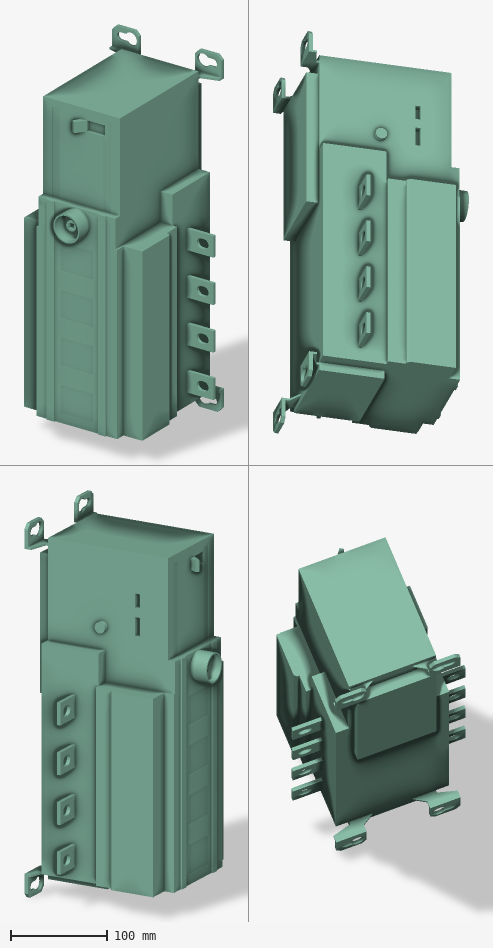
import cadquery as cq


height = 408.0
terminal_span = 193.0
total_depth = 187.3

body_half_width = 48.5
body_back = -16.7
body_top = 390.0
body_bottom = 18.0
lower_front = -168.0
motor_front = -159.5
motor_bottom = 278.5
foot_front = -87.5

slab_half_width = 44.0
slab_back = -4.0
slab_bottom = 218.0
slab_top = 370.5

pole_half_width = 63.2
pole_front = -85.3
switch_bottom = 27.5
cover_top = 243.5
cover_neck = 69.5
cover_half_width = 74.5
cover_step = -104.5
cover_bevel = 3.0
cover_front = -156.5
cover_rebate_width = 4.0
cover_rebate_depth = 0.5
panel_half_width = 51.0

pole_count = 4
first_pole_z = 54.5
pole_pitch = 54.3
terminal_height = 24.5
terminal_thickness = 4.0
terminal_y = -56.5
terminal_slot_length = 14.5
terminal_slot_height = 11.5
terminal_slot_x = 83.0
window_width = 40.5
window_height = 32.2
window_depth = 0.5

rail_inner = 27.7
rail_outer = 37.0
groove_top = 381.0
rail_rise = 1.5
groove_depth = 0.5

lug_inner = 35.5
lug_outer = 69.5
lug_thickness = 4.0
lug_corner = 5.5
shelf_thickness = 2.5
shelf_z = 381.0
shelf_straight = -8.0
shelf_outer_end = -14.0
shelf_root_inner = 21.5
keyhole_z = 397.0
keyhole_x = 45.5
keyhole_radius = 7.8
keyhole_slot_x = 58.5
keyhole_slot_radius = 5.0

knob_z = 261.5
knob_radius = 16.5
knob_bore_radius = 14.5
shaft_radius = 6.0
shaft_height = 10.5
shaft_square = 7.0

button_y = -82.0
button_z = 304.0
button_radius = 6.0
button_rise = 7.0
side_pocket_back = -120.5
side_pocket_front = -126.0
side_pocket_spans = [(330.0, 345.5), (299.0, 320.0)]
side_pocket_depth = 8.0

latch_bottom = 364.5
latch_top = 377.0
latch_split_x = 7.0
latch_pocket_end = 29.5
latch_pocket_depth = 4.0
tab_tip_left = (-5.7, -168.0)
tab_tip_right = (-1.5, -171.0)
tab_base_left_x = -0.5


def box(x_range, y_range, z_range):
    """Box between two limits along each axis."""
    limits = (x_range, y_range, z_range)
    low = [min(pair) for pair in limits]
    size = [max(pair) - min(pair) for pair in limits]
    return cq.Workplane("XY").box(*size, centered=False).translate(tuple(low))


def centred(half):
    return (-half, half)


def prism_z(points, z_range):
    """Outline in X and Y, raised between two heights."""
    base = cq.Workplane("XY", origin=(0, 0, z_range[0]))
    return base.polyline(points).close().extrude(z_range[1] - z_range[0])


def cylinder_y(x, z, radius, y_back, y_front):
    """Cylinder along Y from y_back towards the front."""
    return cq.Workplane("XZ", origin=(x, y_back, z)).circle(radius).extrude(y_back - y_front)


def both_sides(shape):
    return shape.union(shape.mirror("YZ"))


def make_housing():
    width = centred(body_half_width)
    motor = box(width, (body_back, motor_front), (switch_bottom, body_top))
    lower = box(width, (body_back, lower_front), (switch_bottom, motor_bottom))
    foot = box(width, (body_back, foot_front), (body_bottom, switch_bottom))
    slab = box(centred(slab_half_width), (slab_back, body_back), (slab_bottom, slab_top))
    poles = box(centred(pole_half_width), (body_back, pole_front), (switch_bottom, motor_bottom))
    return motor.union(lower).union(foot).union(slab).union(poles)


def make_cover():
    half_outline = [
        (0, pole_front),
        (cover_neck, pole_front),
        (cover_neck, cover_step),
        (cover_half_width - cover_bevel, cover_step),
        (cover_half_width, cover_step - cover_bevel),
        (cover_half_width, cover_front),
        (panel_half_width, cover_front),
        (panel_half_width, lower_front),
        (0, lower_front),
    ]
    cover = both_sides(prism_z(half_outline, (switch_bottom, cover_top)))
    rebate = box(
        (cover_half_width - cover_rebate_width, cover_half_width),
        (cover_front, cover_front + cover_rebate_depth),
        (switch_bottom, cover_top),
    )
    return cover.cut(rebate)


def make_rails():
    z_range = (switch_bottom, motor_bottom)
    return both_sides(box((rail_inner, rail_outer), (lower_front, lower_front - rail_rise), z_range))


def make_grooves():
    z_range = (motor_bottom, groove_top)
    return both_sides(box((rail_inner, rail_outer), (motor_front, motor_front + groove_depth), z_range))


def make_terminal(z):
    """Pair of slotted terminal tabs, one on each side of a pole."""
    y_back = terminal_y + terminal_thickness / 2
    y_range = (y_back, y_back - terminal_thickness)
    z_range = (z - terminal_height / 2, z + terminal_height / 2)
    tab = box((body_half_width, terminal_span / 2), y_range, z_range)
    slot = (
        cq.Workplane("XZ", origin=(terminal_slot_x, y_back, z))
        .slot2D(terminal_slot_length, terminal_slot_height)
        .extrude(terminal_thickness)
    )
    return both_sides(tab.cut(slot))


def make_window(z):
    z_range = (z - window_height / 2, z + window_height / 2)
    return box(centred(window_width / 2), (lower_front, lower_front + window_depth), z_range)


def make_upper_lugs():
    """Two upright plates with keyholes, joined to the housing by tapered shelves."""
    plate = box((lug_inner, lug_outer), (0, -lug_thickness), (shelf_z, height))
    plate = plate.edges("|Y and >Z").chamfer(lug_corner)
    keyhole = cylinder_y(keyhole_x, keyhole_z, keyhole_radius, 0, -lug_thickness)
    slot_end = cylinder_y(keyhole_slot_x, keyhole_z, keyhole_slot_radius, 0, -lug_thickness)
    slot = box(
        (keyhole_x, keyhole_slot_x),
        (0, -lug_thickness),
        (keyhole_z - keyhole_slot_radius, keyhole_z + keyhole_slot_radius),
    )
    shelf_outline = [
        (lug_inner, 0),
        (lug_outer, 0),
        (lug_outer, shelf_straight),
        (body_half_width, shelf_outer_end),
        (body_half_width, body_back),
        (shelf_root_inner, body_back),
        (lug_inner, shelf_straight),
    ]
    shelf = prism_z(shelf_outline, (shelf_z, shelf_z + shelf_thickness))
    return both_sides(plate.cut(keyhole).cut(slot_end).cut(slot).union(shelf))


def make_knob():
    """Hollow round knob with a shaft end inside that has a square socket."""
    knob_front = -total_depth
    ring = cylinder_y(0, knob_z, knob_radius, lower_front, knob_front)
    bore = cylinder_y(0, knob_z, knob_bore_radius, lower_front, knob_front)
    shaft_front = lower_front - shaft_height
    shaft = cylinder_y(0, knob_z, shaft_radius, lower_front, shaft_front)
    half = shaft_square / 2
    socket = box(centred(half), (lower_front, shaft_front), (knob_z - half, knob_z + half))
    return ring.cut(bore).union(shaft.cut(socket))


def make_button():
    return (
        cq.Workplane("YZ", origin=(-body_half_width, button_y, button_z))
        .circle(button_radius)
        .extrude(-button_rise)
    )


def make_latch_tab():
    outline = [
        (tab_base_left_x, motor_front),
        tab_tip_left,
        tab_tip_right,
        (latch_split_x, motor_front),
    ]
    return prism_z(outline, (latch_bottom, latch_top))


upper_lugs = make_upper_lugs()
lower_lugs = upper_lugs.mirror("XY", (0, 0, height / 2))

result = make_housing().union(make_cover()).union(make_rails()).cut(make_grooves())
result = result.union(upper_lugs).union(lower_lugs)
result = result.union(make_knob()).union(make_button()).union(make_latch_tab())

for pole in range(pole_count):
    pole_z = first_pole_z + pole * pole_pitch
    result = result.union(make_terminal(pole_z)).cut(make_window(pole_z))

for side_pocket_span in side_pocket_spans:
    side_x = (-body_half_width, -body_half_width + side_pocket_depth)
    result = result.cut(box(side_x, (side_pocket_back, side_pocket_front), side_pocket_span))

pocket_y = (motor_front, motor_front + latch_pocket_depth)
result = result.cut(box((latch_split_x, latch_pocket_end), pocket_y, (latch_bottom, latch_top)))